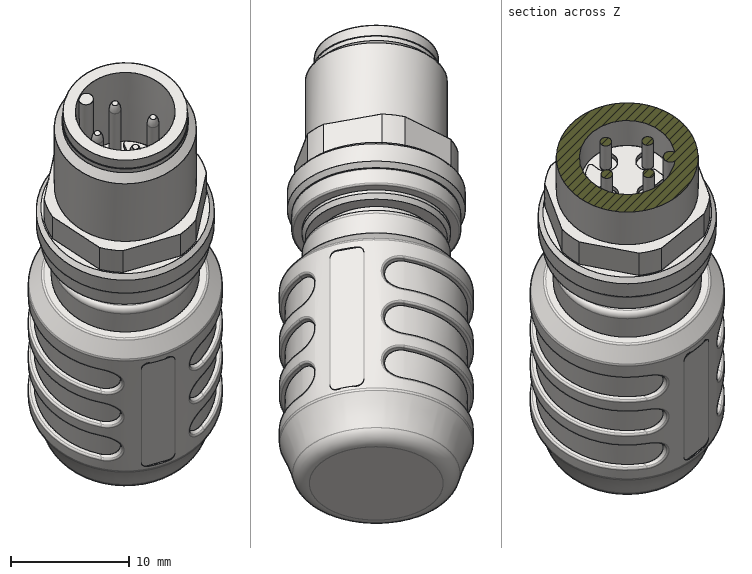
import cadquery as cq
import math

TOTAL_LENGTH = 42.8

CUT_MARGIN = 1.0
PICK_TOLERANCE = 0.05

RIM_RADIUS = 5.25
RIM_BOTTOM = 41.7
RELIEF_RADIUS = 5.33
RELIEF_BOTTOM = 41.2
BODY_RADIUS = 6.0
BODY_BOTTOM = 32.7

HEX_SIDES = 6
HEX_ACROSS_FLATS = 13.0
HEX_CORNER_RADIUS = 7.0
HEX_BOTTOM = 29.75

COLLAR_RADIUS = 7.52
COLLAR_BOTTOM = 27.2
COLLAR_CHAMFER = 0.4
RING_RADIUS = 7.15
RING_BOTTOM = 25.5
RING_FILLET = 0.15
LIP_RADIUS = 6.28
LIP_TAPER_TOP = 25.2
LIP_END_RADIUS = 6.0
LIP_BOTTOM = 24.75
NECK_RADIUS = 4.87
NECK_TAPER_TOP = 24.05
NECK_END_RADIUS = 4.7

SLEEVE_RADIUS = 6.26
SLEEVE_TOP = 23.67
SLEEVE_FILLET = 0.5

GRIP_RADIUS = 8.2
GRIP_TOP = 20.72
SHOULDER_TOP_RADIUS = 7.0
SHOULDER_TOP_FILLET = 0.25
BARREL_TOP = 19.33
BARREL_TOP_FILLET = 0.3
BARREL_BOTTOM = 4.15
BARREL_BOTTOM_FILLET = 0.5
TAIL_MID_RADIUS = 7.57
TAIL_MID_Z = 2.66
TAIL_RADIUS = 7.07
TAIL_ROUND_TOP = 1.0
TAIL_ROUND_MID_RADIUS = 6.65
TAIL_ROUND_MID_Z = 0.34
TAIL_FACE_RADIUS = 5.65

GROOVE_FLOOR_RADIUS = 7.7
GROOVE_HEIGHT = 3.05
GROOVE_PITCH = 4.5
GROOVE_COUNT = 3
GROOVE_END_Y = 3.03
GROOVE_RIM_FILLET = 0.18

PANEL_WIDTH = 3.0
PANEL_HEIGHT = 14.0
PANEL_CORNER_RADIUS = 0.6
PANEL_X = math.sqrt(GRIP_RADIUS**2 - (PANEL_WIDTH / 2) ** 2)
GRIP_FEATURE_Z = 11.6

SOCKET_MOUTH_RADIUS = 4.2
SOCKET_FLOOR_RADIUS = 3.93
SOCKET_DEPTH = 9.0
SOCKET_FLOOR = TOTAL_LENGTH - SOCKET_DEPTH

PIN_COUNT = 4
PIN_ANGLES = [index * 360 / PIN_COUNT for index in range(PIN_COUNT)]
PIN_CIRCLE_RADIUS = 2.5
PIN_RADIUS = 0.5
PIN_TIP_RADIUS = 0.27
PIN_TIP_Z = 40.95
PIN_TIP_LENGTH = 0.8

ISLAND_RADIUS = 3.55
ISLAND_HEIGHT = 0.5
ISLAND_NOTCH_RADIUS = 1.0
ISLAND_CORNER_RADIUS = 0.25
ISLAND_KEY_CORNER = 2.28

KEY_ANGLE = 225.0
KEY_RADIUS = 0.62
KEY_CIRCLE_RADIUS = 3.65
KEY_TOP = TOTAL_LENGTH - 0.25


def disc(radius, bottom, top):
    """Cylinder on the connector axis between two heights."""
    return cq.Workplane("XY").workplane(offset=bottom).circle(radius).extrude(top - bottom)


def lies_at_radius(point, radius):
    """True if the point is at the given distance from the connector axis."""
    return abs(math.hypot(point.x, point.y) - radius) < PICK_TOLERANCE


def make_plug():
    """Turned plug from the rim down to the top of the hexagon."""
    chamfer_bottom = RELIEF_BOTTOM - (BODY_RADIUS - RELIEF_RADIUS)
    profile = (
        cq.Workplane("XZ")
        .moveTo(0, BODY_BOTTOM)
        .lineTo(BODY_RADIUS, BODY_BOTTOM)
        .lineTo(BODY_RADIUS, chamfer_bottom)
        .lineTo(RELIEF_RADIUS, RELIEF_BOTTOM)
        .lineTo(RELIEF_RADIUS, RIM_BOTTOM)
        .lineTo(RIM_RADIUS, RIM_BOTTOM)
        .lineTo(RIM_RADIUS, TOTAL_LENGTH)
        .lineTo(0, TOTAL_LENGTH)
        .close()
    )
    return profile.revolve(360, (0, 0, 0), (0, 1, 0))


def make_hexagon():
    """Hexagon with flats facing -X and +X and its corners turned round."""
    half_side_angle = 180 / HEX_SIDES
    across_corners = HEX_ACROSS_FLATS / math.cos(math.radians(half_side_angle))
    prism = (
        cq.Workplane("XY")
        .workplane(offset=HEX_BOTTOM)
        .transformed(rotate=(0, 0, half_side_angle))
        .polygon(HEX_SIDES, across_corners)
        .extrude(BODY_BOTTOM - HEX_BOTTOM)
    )
    return prism.intersect(disc(HEX_CORNER_RADIUS, HEX_BOTTOM, BODY_BOTTOM))


def make_coupling():
    """Collar, clamping ring, tapered lip and neck, stacked down to the sleeve."""
    collar = disc(COLLAR_RADIUS, COLLAR_BOTTOM, HEX_BOTTOM).edges().chamfer(COLLAR_CHAMFER)
    ring = disc(RING_RADIUS, RING_BOTTOM, COLLAR_BOTTOM).edges().fillet(RING_FILLET)
    lip_and_neck = (
        cq.Workplane("XZ")
        .moveTo(0, RING_BOTTOM)
        .lineTo(LIP_RADIUS, RING_BOTTOM)
        .lineTo(LIP_RADIUS, LIP_TAPER_TOP)
        .lineTo(LIP_END_RADIUS, LIP_BOTTOM)
        .lineTo(NECK_RADIUS, LIP_BOTTOM)
        .lineTo(NECK_RADIUS, NECK_TAPER_TOP)
        .lineTo(NECK_END_RADIUS, SLEEVE_TOP)
        .lineTo(0, SLEEVE_TOP)
        .close()
        .revolve(360, (0, 0, 0), (0, 1, 0))
    )
    return collar.union(ring).union(lip_and_neck)


def make_sleeve():
    """Plain sleeve with a rounded top edge."""
    return disc(SLEEVE_RADIUS, GRIP_TOP, SLEEVE_TOP).edges(">Z").fillet(SLEEVE_FILLET)


def edge_at_height(height):
    """Selector for the circular edge of the grip at the given height."""
    return cq.selectors.BoxSelector(
        (-GRIP_RADIUS, -GRIP_RADIUS, height - PICK_TOLERANCE),
        (GRIP_RADIUS, GRIP_RADIUS, height + PICK_TOLERANCE),
    )


def make_grip_blank():
    """Turned grip before the grooves and panels are cut."""
    blank = (
        cq.Workplane("XZ")
        .lineTo(TAIL_FACE_RADIUS, 0)
        .threePointArc((TAIL_ROUND_MID_RADIUS, TAIL_ROUND_MID_Z), (TAIL_RADIUS, TAIL_ROUND_TOP))
        .threePointArc((TAIL_MID_RADIUS, TAIL_MID_Z), (GRIP_RADIUS, BARREL_BOTTOM))
        .lineTo(GRIP_RADIUS, BARREL_TOP)
        .lineTo(SHOULDER_TOP_RADIUS, GRIP_TOP)
        .lineTo(0, GRIP_TOP)
        .close()
        .revolve(360, (0, 0, 0), (0, 1, 0))
    )
    blank = blank.faces(">Z").edges().fillet(SHOULDER_TOP_FILLET)
    blank = blank.edges(edge_at_height(BARREL_TOP)).fillet(BARREL_TOP_FILLET)
    return blank.edges(edge_at_height(BARREL_BOTTOM)).fillet(BARREL_BOTTOM_FILLET)


def make_groove(center_z, side):
    """Groove cutter on one side (-1 or +1 along Y), with round ends seen along X."""
    half_height = GROOVE_HEIGHT / 2
    round_y = side * (GROOVE_END_Y + half_height)
    outer_y = side * (GRIP_RADIUS + CUT_MARGIN)
    slot = (
        cq.Workplane("YZ")
        .moveTo(outer_y, center_z - half_height)
        .lineTo(round_y, center_z - half_height)
        .threePointArc((side * GROOVE_END_Y, center_z), (round_y, center_z + half_height))
        .lineTo(outer_y, center_z + half_height)
        .close()
        .extrude(GRIP_RADIUS, both=True)
    )
    return slot.cut(disc(GROOVE_FLOOR_RADIUS, 0, GRIP_TOP))


def is_groove_rim(edge):
    """True for the edges where a groove wall meets the barrel surface."""
    points = [edge.positionAt(fraction) for fraction in (0, 0.5, 1)]
    on_barrel = all(lies_at_radius(point, GRIP_RADIUS) for point in points)
    half_span = ((GROOVE_COUNT - 1) * GROOVE_PITCH + GROOVE_HEIGHT) / 2
    beside_grooves = abs(edge.Center().z - GRIP_FEATURE_Z) < half_span + PICK_TOLERANCE
    is_barrel_seam = edge.geomType() == "LINE"
    return on_barrel and beside_grooves and not is_barrel_seam


def make_panel_cutter(side):
    """Cutter for the rounded flat panel on one side (-1 or +1 along X)."""
    return (
        cq.Workplane("YZ")
        .workplane(offset=side * PANEL_X)
        .center(0, GRIP_FEATURE_Z)
        .rect(PANEL_WIDTH, PANEL_HEIGHT)
        .extrude(side * (GRIP_RADIUS - PANEL_X + CUT_MARGIN))
        .edges("|X")
        .fillet(PANEL_CORNER_RADIUS)
    )


def make_grip():
    """Grip with finger grooves and label panels."""
    grip = make_grip_blank()
    for index in range(GROOVE_COUNT):
        center_z = GRIP_FEATURE_Z + (index - (GROOVE_COUNT - 1) / 2) * GROOVE_PITCH
        for side in (-1, 1):
            grip = grip.cut(make_groove(center_z, side))
    rims = [edge for edge in grip.edges().vals() if is_groove_rim(edge)]
    grip = grip.newObject(rims).fillet(GROOVE_RIM_FILLET)
    for side in (-1, 1):
        grip = grip.cut(make_panel_cutter(side))
    return grip


def make_socket_bore():
    """Tapered bore cutter, wide at the mouth."""
    return (
        cq.Workplane("XZ")
        .moveTo(0, SOCKET_FLOOR)
        .lineTo(SOCKET_FLOOR_RADIUS, SOCKET_FLOOR)
        .lineTo(SOCKET_MOUTH_RADIUS, TOTAL_LENGTH)
        .lineTo(0, TOTAL_LENGTH)
        .close()
        .revolve(360, (0, 0, 0), (0, 1, 0))
    )


def make_pin(angle):
    """Contact pin with a curved taper to a small flat tip."""
    pin = (
        cq.Workplane("XZ")
        .moveTo(0, SOCKET_FLOOR)
        .lineTo(PIN_RADIUS, SOCKET_FLOOR)
        .lineTo(PIN_RADIUS, PIN_TIP_Z - PIN_TIP_LENGTH)
        .tangentArcPoint((PIN_TIP_RADIUS, PIN_TIP_Z), relative=False)
        .lineTo(0, PIN_TIP_Z)
        .close()
        .revolve(360, (0, 0, 0), (0, 1, 0))
    )
    return pin.translate((PIN_CIRCLE_RADIUS, 0, 0)).rotate((0, 0, 0), (0, 0, 1), angle)


def island_block(start, size):
    """Block of island height on the socket floor, from the corner start (x, y) with size (x, y)."""
    block = cq.Workplane("XY").box(*size, ISLAND_HEIGHT, centered=False)
    return block.translate((*start, SOCKET_FLOOR))


def make_notch(angle):
    """Cutter for the round-ended island notch that opens outward at one pin."""
    notch = disc(ISLAND_NOTCH_RADIUS, SOCKET_FLOOR, SOCKET_FLOOR + ISLAND_HEIGHT)
    channel = island_block((0, -ISLAND_NOTCH_RADIUS), (ISLAND_RADIUS, 2 * ISLAND_NOTCH_RADIUS))
    notch = notch.union(channel).translate((PIN_CIRCLE_RADIUS, 0, 0))
    return notch.rotate((0, 0, 0), (0, 0, 1), angle)


def make_island():
    """Raised floor island with a notch at each pin and a square corner at the key."""
    island = disc(ISLAND_RADIUS, SOCKET_FLOOR, SOCKET_FLOOR + ISLAND_HEIGHT)
    for angle in PIN_ANGLES:
        island = island.cut(make_notch(angle))
    upright_edges = island.edges("|Z").vals()
    lobe_corners = [edge for edge in upright_edges if lies_at_radius(edge.Center(), ISLAND_RADIUS)]
    island = island.newObject(lobe_corners).fillet(ISLAND_CORNER_RADIUS)

    key_lobe_zone = island_block((-ISLAND_RADIUS, -ISLAND_RADIUS), (ISLAND_RADIUS, ISLAND_RADIUS))
    kept_corner = island_block(
        (-ISLAND_KEY_CORNER, -ISLAND_KEY_CORNER), (ISLAND_KEY_CORNER, ISLAND_KEY_CORNER)
    )
    return island.cut(key_lobe_zone.cut(kept_corner))


def make_key():
    """Round coding key merged into the socket wall."""
    angle = math.radians(KEY_ANGLE)
    return (
        cq.Workplane("XY")
        .workplane(offset=SOCKET_FLOOR)
        .center(KEY_CIRCLE_RADIUS * math.cos(angle), KEY_CIRCLE_RADIUS * math.sin(angle))
        .circle(KEY_RADIUS)
        .extrude(KEY_TOP - SOCKET_FLOOR)
    )


connector = make_plug().union(make_hexagon()).union(make_coupling())
connector = connector.union(make_sleeve()).union(make_grip())
connector = connector.cut(make_socket_bore())
connector = connector.union(make_island()).union(make_key())
for pin_angle in PIN_ANGLES:
    connector = connector.union(make_pin(pin_angle))

result = connector